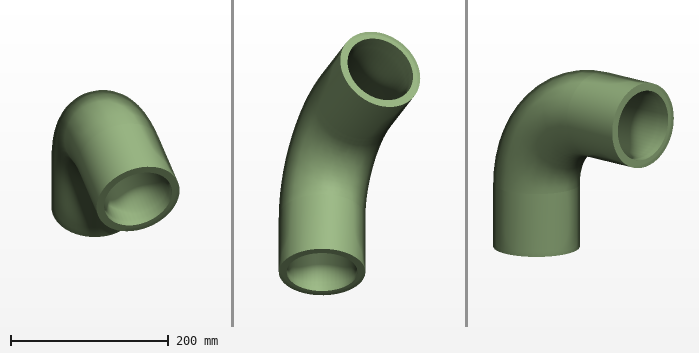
import cadquery as cq

overall_length = 247.0
outer_diameter = 110.0
bore_diameter = 90.0
bend_angle = 90
bend_radius = outer_diameter
straight_length = overall_length - bend_radius - outer_diameter / 2


def pipe_section(plane, origin):
    """Ring-shaped pipe cross-section, centred on the given origin."""
    return (
        cq.Workplane(plane, origin=origin)
        .circle(outer_diameter / 2)
        .circle(bore_diameter / 2)
    )


lower_leg = pipe_section("XY", (0, 0, 0)).extrude(straight_length)

bend = pipe_section("XY", (0, 0, straight_length)).revolve(
    bend_angle, (bend_radius, 0), (bend_radius, 1)
)

upper_leg_start = (bend_radius, 0, straight_length + bend_radius)
upper_leg = pipe_section("YZ", upper_leg_start).extrude(straight_length)

result = lower_leg.union(bend).union(upper_leg)